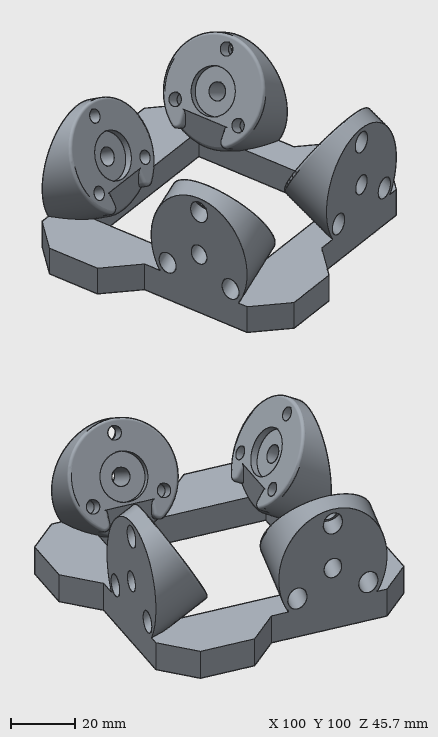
import cadquery as cq
import math

overall_size = 100.0
wing_reach = 10.5
frame_height = 9.8
side_offset = overall_size / 2 - wing_reach
opening_half = side_offset - wing_reach

mount_diameter = 37.0
mount_radius = mount_diameter / 2
mount_tilt = 30.0
mount_length = 16.0
mount_center_z = 22.0
mount_offset = side_offset - mount_radius
rim_fillet = 1.0
notch_fillet = 2.0
back_overrun = 20.0

recess_diameter = 16.0
recess_depth = 2.5
center_hole_diameter = 6.0
screw_diameter = 4.5
screw_head_diameter = 6.5
screw_circle_radius = 14.0
screw_seat_thickness = 5.0
screw_count = 3

notch_width = 15.0
notch_floor_distance = 18.3

quarter_turns = (0, 90, 180, 270)


def make_frame():
    """Square ring with the same winged outline on each of its four sides."""
    points = []
    wing_width = mount_radius
    wing_end = wing_width - opening_half
    for turn in quarter_turns:
        cosine = round(math.cos(math.radians(turn)))
        sine = round(math.sin(math.radians(turn)))
        side_points = [
            (-side_offset, -side_offset),
            (-opening_half, -overall_size / 2),
            (wing_end, -overall_size / 2),
            (wing_end + wing_reach, -side_offset),
        ]
        points += [(x * cosine - y * sine, x * sine + y * cosine) for x, y in side_points]
    frame = cq.Workplane("XY").polyline(points).close().extrude(frame_height)
    opening = cq.Workplane("XY").rect(2 * opening_half, 2 * opening_half).extrude(frame_height)
    return frame.cut(opening)


def make_mount():
    """Mount on the -Y side of the frame, facing inwards and up."""
    tilt = math.radians(mount_tilt)
    axis = cq.Vector(0, math.cos(tilt), math.sin(tilt))
    back_center = cq.Vector(mount_offset, -side_offset, mount_center_z)
    uphill = cq.Vector(0, -math.sin(tilt), math.cos(tilt))
    face = cq.Workplane(cq.Plane(back_center + axis * mount_length, xDir=uphill, normal=axis))
    full_length = mount_length + back_overrun

    mount = face.circle(mount_radius).extrude(-full_length)

    notch_y = -side_offset + notch_floor_distance
    notch = cq.Workplane("XZ", origin=(mount_offset, notch_y, mount_center_z))
    notch = notch.rect(notch_width, 2 * mount_diameter).extrude(-mount_diameter)
    mount = mount.cut(notch)
    around_notch = cq.selectors.BoxSelector(
        (mount_offset - notch_width, notch_y - rim_fillet, -mount_diameter),
        (mount_offset + notch_width, notch_y + mount_diameter, mount_center_z),
    )
    notch_edges = mount.faces("%CYLINDER").edges(around_notch).edges("%LINE or %ELLIPSE")
    mount = notch_edges.fillet(notch_fillet)
    rim_edges = mount.faces(cq.selectors.DirectionMinMaxSelector(axis)).edges("not |X")
    mount = rim_edges.fillet(rim_fillet)

    mount = mount.cut(face.circle(recess_diameter / 2).extrude(-recess_depth))
    mount = mount.cut(face.circle(center_hole_diameter / 2).extrude(-full_length))

    screws = face.polarArray(screw_circle_radius, 0, 360, screw_count)
    mount = mount.cut(screws.circle(screw_diameter / 2).extrude(-full_length))
    seats = face.workplane(offset=-screw_seat_thickness)
    heads = seats.polarArray(screw_circle_radius, 0, 360, screw_count)
    mount = mount.cut(heads.circle(screw_head_diameter / 2).extrude(-full_length))

    outside = cq.Workplane("XY").box(2 * overall_size, overall_size, 2 * overall_size)
    return mount.cut(outside.translate((0, -side_offset - overall_size / 2, 0)))


result = make_frame()
mount = make_mount()
for turn in quarter_turns:
    result = result.union(mount.rotate((0, 0, 0), (0, 0, 1), turn))